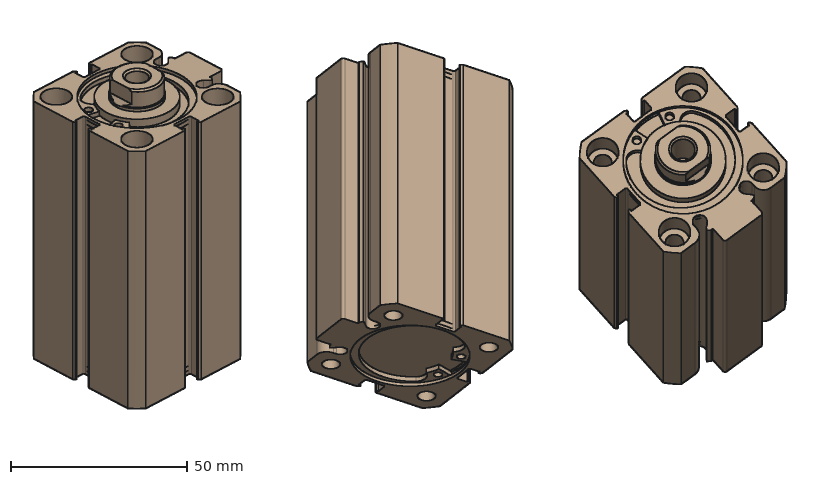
import cadquery as cq
import math


HALF_WIDTH = 22.5
HOUSING_LENGTH = 86.0
CORNER_RADIUS = 29.4
BORE_RADIUS = 17.0
BOLT_OFFSET = 16.2
BOLT_HOLE_DIAMETER = 5.2
BOLT_HEAD_DIAMETER = 9.0
BOLT_HEAD_DEPTH = 7.0

SLOT_FLOOR = 18.0
SLOT_HALF_WIDTH = 3.3
SLOT_MOUTH_HALF_WIDTH = 2.6
SLOT_LIP_THICKNESS = 1.0
SLOT_MOUTH_BEVEL = 0.4
SLOT_CORNER_RADIUS = 0.5

RAIL_TOP = 27.5
RAIL_HALF_WIDTH = 7.05
RAIL_EDGE_RADIUS = 0.8
RAIL_BARB_ROOT = (7.7, 22.2)
RAIL_BARB_TIP = (8.7, 21.5)
RAIL_BARB_HEEL_X = 8.3
GROOVE_CENTER = (8.5, 18.1)
GROOVE_RADIUS = 2.05
GROOVE_SHOULDER_RADIUS = 3.3

RING_THICKNESS = 1.5
RING_INSET = 1.1
RING_GROOVE_WALL = 0.15
RING_RADIUS = SLOT_FLOOR - RING_GROOVE_WALL
RING_OPENING_RADIUS = 15.5
RING_OPENING_SHIFT = 1.1
RING_CORNER_RADIUS = 3.4
RING_CORNER_ANGLE = 36.0
LUG_INNER_RADIUS = 12.3
LUG_GAP_ANGLE = 15.0
LUG_END_ANGLE = 35.0
LUG_HOLE_ANGLE = 24.0
LUG_HOLE_RADIUS = 14.7
LUG_HOLE_DIAMETER = 2.5

COVER_INSET = RING_INSET + RING_THICKNESS
FRONT_COVER_THICKNESS = 12.0
FRONT_COVER_BOSS_RADIUS = 12.15
REAR_COVER_THICKNESS = 6.0

ROD_RADIUS = 8.05
ROD_TOP = 93.0
ROD_NECK_RADIUS = 7.8
ROD_NECK_START = HOUSING_LENGTH + 1.0
ROD_TOP_CHAMFER = 0.6
PISTON_LENGTH = 15.0
FLAT_HALF_WIDTH = 6.5
FLAT_START = 88.3
ROD_HOLE_DIAMETER = 6.8
ROD_HOLE_DEPTH = 13.0
ROD_HOLE_MOUTH_DIAMETER = 8.0
DRILL_POINT_ANGLE = 118.0


def polar(radius, degrees_from_minus_y):
    angle = math.radians(degrees_from_minus_y)
    return (radius * math.sin(angle), -radius * math.cos(angle))


def mirrored(point):
    return (-point[0], point[1])


def disc(radius, start, height):
    return cq.Workplane("XY").workplane(offset=start).circle(radius).extrude(height)



def housing_block():
    side = 2 * HALF_WIDTH
    square = cq.Workplane("XY").rect(side, side).extrude(HOUSING_LENGTH)
    return square.intersect(disc(CORNER_RADIUS, 0, HOUSING_LENGTH))


def side_slot(angle):
    """Undercut slot in the -Y side, turned about the axis by the given angle."""
    lip_y = -HALF_WIDTH + SLOT_LIP_THICKNESS
    bevel_y = -HALF_WIDTH + SLOT_MOUTH_BEVEL
    depth = HALF_WIDTH - SLOT_LIP_THICKNESS - SLOT_FLOOR
    chamber = (
        cq.Workplane("XY")
        .center(0, lip_y + depth / 2)
        .rect(2 * SLOT_HALF_WIDTH, depth)
        .extrude(HOUSING_LENGTH)
        .edges("|Z and >Y")
        .fillet(SLOT_CORNER_RADIUS)
    )
    right_mouth = [
        (SLOT_HALF_WIDTH, -HALF_WIDTH),
        (SLOT_MOUTH_HALF_WIDTH, bevel_y),
        (SLOT_MOUTH_HALF_WIDTH, lip_y),
    ]
    left_mouth = [mirrored(point) for point in reversed(right_mouth)]
    mouth = cq.Workplane("XY").polyline(right_mouth + left_mouth).close().extrude(HOUSING_LENGTH)
    return chamber.union(mouth).rotate((0, 0, 0), (0, 0, 1), angle)


def sensor_rail():
    """Part of the rail that stands above the +Y side."""
    return (
        cq.Workplane("XY")
        .center(0, (HALF_WIDTH + RAIL_TOP) / 2)
        .rect(2 * RAIL_HALF_WIDTH, RAIL_TOP - HALF_WIDTH)
        .extrude(HOUSING_LENGTH)
        .edges("|Z and >Y")
        .fillet(RAIL_EDGE_RADIUS)
    )


def sensor_groove():
    """Groove along the +X flank of the rail, with a barb on its inner wall."""
    center_x, center_y = GROOVE_CENTER
    tangent_offset = GROOVE_RADIUS * math.sqrt(0.5)
    wall_start = (center_x - tangent_offset, center_y + tangent_offset)
    heel = (RAIL_BARB_HEEL_X, wall_start[1] + RAIL_BARB_HEEL_X - wall_start[0])
    outer_x = center_x + GROOVE_RADIUS
    shoulder_center = (outer_x + GROOVE_SHOULDER_RADIUS, HALF_WIDTH - GROOVE_SHOULDER_RADIUS)
    shoulder_offset = GROOVE_SHOULDER_RADIUS * math.sqrt(0.5)
    shoulder_middle = (shoulder_center[0] - shoulder_offset, shoulder_center[1] + shoulder_offset)
    return (
        cq.Workplane("XY")
        .moveTo(RAIL_HALF_WIDTH, HALF_WIDTH)
        .lineTo(RAIL_HALF_WIDTH, RAIL_BARB_ROOT[1])
        .lineTo(*RAIL_BARB_ROOT)
        .lineTo(*RAIL_BARB_TIP)
        .lineTo(*heel)
        .lineTo(*wall_start)
        .threePointArc((center_x, center_y - GROOVE_RADIUS), (outer_x, center_y))
        .lineTo(outer_x, shoulder_center[1])
        .threePointArc(shoulder_middle, (shoulder_center[0], HALF_WIDTH))
        .close()
        .extrude(HOUSING_LENGTH)
    )


def make_housing():
    body = housing_block().union(sensor_rail())
    for angle in (-90, 0, 90):
        body = body.cut(side_slot(angle))
    groove = sensor_groove()
    body = body.cut(groove).cut(groove.mirror("YZ"))
    body = body.cut(disc(BORE_RADIUS, 0, HOUSING_LENGTH))
    for start in (RING_INSET, HOUSING_LENGTH - COVER_INSET):
        body = body.cut(disc(RING_RADIUS, start, RING_THICKNESS))
    return (
        body.faces(">Z")
        .workplane(origin=(0, 0, HOUSING_LENGTH))
        .rect(2 * BOLT_OFFSET, 2 * BOLT_OFFSET, forConstruction=True)
        .vertices()
        .cboreHole(BOLT_HOLE_DIAMETER, BOLT_HEAD_DIAMETER, BOLT_HEAD_DEPTH)
    )



def ring_opening():
    """Off-centre round opening that narrows to the lugs through two rounded corners."""
    opening_y = -RING_OPENING_SHIFT
    corner_angle = math.radians(RING_CORNER_ANGLE)
    along_x = math.cos(corner_angle)
    along_y = -math.sin(corner_angle)
    corner_distance = RING_OPENING_RADIUS - RING_CORNER_RADIUS
    corner_bottom = (
        corner_distance * along_x,
        opening_y + corner_distance * along_y - RING_CORNER_RADIUS,
    )
    corner_start = (RING_OPENING_RADIUS * along_x, opening_y + RING_OPENING_RADIUS * along_y)
    lug_end = polar(LUG_INNER_RADIUS, LUG_END_ANGLE)
    return (
        cq.Workplane("XY")
        .moveTo(*lug_end)
        .threePointArc(corner_bottom, corner_start)
        .threePointArc((0, opening_y + RING_OPENING_RADIUS), mirrored(corner_start))
        .threePointArc(mirrored(corner_bottom), mirrored(lug_end))
        .threePointArc((0, -LUG_INNER_RADIUS), lug_end)
        .close()
        .extrude(RING_THICKNESS)
    )


def make_snap_ring(start):
    gap_reach = 2 * RING_RADIUS
    gap_corners = [(0, 0), polar(gap_reach, -LUG_GAP_ANGLE), polar(gap_reach, LUG_GAP_ANGLE)]
    gap = cq.Workplane("XY").polyline(gap_corners).close().extrude(RING_THICKNESS)
    lug_holes = (
        cq.Workplane("XY")
        .pushPoints([polar(LUG_HOLE_RADIUS, side * LUG_HOLE_ANGLE) for side in (-1, 1)])
        .circle(LUG_HOLE_DIAMETER / 2)
        .extrude(RING_THICKNESS)
    )
    ring = disc(RING_RADIUS, 0, RING_THICKNESS).cut(ring_opening()).cut(gap).cut(lug_holes)
    return ring.translate((0, 0, start))



def make_front_cover():
    flange_top = HOUSING_LENGTH - COVER_INSET
    flange = disc(BORE_RADIUS, flange_top - FRONT_COVER_THICKNESS, FRONT_COVER_THICKNESS)
    boss = disc(FRONT_COVER_BOSS_RADIUS, flange_top, COVER_INSET)
    return flange.union(boss).cut(disc(ROD_RADIUS, 0, HOUSING_LENGTH))


def make_rear_cover():
    return disc(BORE_RADIUS, COVER_INSET, REAR_COVER_THICKNESS)



def wrench_flat():
    """Cutter for the -Y flat, running out at 45 degrees to the rod surface."""
    outer_y = -2 * ROD_RADIUS
    runout_z = FLAT_START + outer_y + FLAT_HALF_WIDTH
    corners = [
        (-FLAT_HALF_WIDTH, ROD_TOP),
        (-FLAT_HALF_WIDTH, FLAT_START),
        (outer_y, runout_z),
        (outer_y, ROD_TOP),
    ]
    return cq.Workplane("YZ").polyline(corners).close().extrude(ROD_RADIUS, both=True)


def rod_hole():
    """Tapping hole in the rod end, with a chamfered mouth and a drill point."""
    radius = ROD_HOLE_DIAMETER / 2
    mouth_radius = ROD_HOLE_MOUTH_DIAMETER / 2
    bottom = ROD_TOP - ROD_HOLE_DEPTH
    point_depth = radius / math.tan(math.radians(DRILL_POINT_ANGLE / 2))
    profile = [
        (0, ROD_TOP),
        (mouth_radius, ROD_TOP),
        (radius, ROD_TOP - (mouth_radius - radius)),
        (radius, bottom),
        (0, bottom - point_depth),
    ]
    return cq.Workplane("XZ").polyline(profile).close().revolve(360, (0, 0), (0, 1))


def make_piston_rod():
    piston_start = COVER_INSET + REAR_COVER_THICKNESS
    piston_end = piston_start + PISTON_LENGTH
    shoulder = ROD_RADIUS - ROD_NECK_RADIUS
    profile = [
        (0, piston_start),
        (BORE_RADIUS, piston_start),
        (BORE_RADIUS, piston_end),
        (ROD_RADIUS, piston_end),
        (ROD_RADIUS, ROD_NECK_START),
        (ROD_NECK_RADIUS, ROD_NECK_START + shoulder),
        (ROD_NECK_RADIUS, ROD_TOP - ROD_TOP_CHAMFER),
        (ROD_NECK_RADIUS - ROD_TOP_CHAMFER, ROD_TOP),
        (0, ROD_TOP),
    ]
    rod = cq.Workplane("XZ").polyline(profile).close().revolve(360, (0, 0), (0, 1))
    flat = wrench_flat()
    return rod.cut(flat).cut(flat.mirror("XZ")).cut(rod_hole())


housing = make_housing()
snap_rings = [make_snap_ring(start) for start in (RING_INSET, HOUSING_LENGTH - COVER_INSET)]
front_cover = make_front_cover()
rear_cover = make_rear_cover()
piston_rod = make_piston_rod()

result = cq.Compound.makeCompound([
    housing.val(),
    *[ring.val() for ring in snap_rings],
    front_cover.val(),
    rear_cover.val(),
    piston_rod.val(),
])